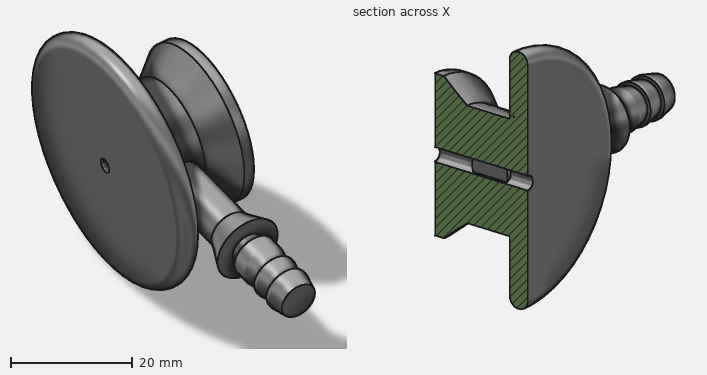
import cadquery as cq

overall_length = 67.5
disc_diameter = 46.0
disc_thickness = 4.0
disc_radius = disc_diameter / 2
edge_radius = disc_thickness / 2
face_radius = disc_radius - edge_radius

hub_radius = 10.5
hub_length = 9.0
bell_radius = 14.5
bell_flare_length = 5.0
overall_depth = 19.9
hub_end = disc_thickness + hub_length
flare_end = hub_end + bell_flare_length

hole_radius = 1.3

stem_y = disc_thickness + hub_length / 2
stem_start = 0.4
stem_radius = 3.8
stem_end = 24.45
collar_radius = 6.0
collar_end = 29.5
neck_radius = 3.0
neck_end = 31.5
barb_radius = 4.0
barb_tip_radius = 3.3
barb_count = 3
first_land_length = 2.9
barb_land_length = 0.7
connector_end = overall_length - disc_radius
lands_length = first_land_length + (barb_count - 1) * barb_land_length
barb_taper_length = (connector_end - neck_end - lands_length) / barb_count


def make_chest_piece():
    """Disc, hub and bell revolved about the Y axis."""
    profile = (
        cq.Workplane("XY")
        .lineTo(face_radius, 0)
        .threePointArc((disc_radius, edge_radius), (face_radius, disc_thickness))
        .lineTo(hub_radius, disc_thickness)
        .lineTo(hub_radius, hub_end)
        .lineTo(bell_radius, flare_end)
        .lineTo(bell_radius, overall_depth)
        .lineTo(0, overall_depth)
        .close()
    )
    return profile.revolve(360, (0, 0, 0), (0, 1, 0))


def make_sound_hole():
    return cq.Workplane("XZ").circle(hole_radius).extrude(-overall_depth)


def make_stem():
    """Stem, conical collar, neck and tapered barbs revolved about the stem axis."""
    outline = [
        (stem_start, 0),
        (stem_start, stem_radius),
        (stem_end, stem_radius),
        (collar_end, collar_radius),
        (collar_end, neck_radius),
        (neck_end, neck_radius),
    ]
    x = neck_end
    for index in range(barb_count):
        land_length = first_land_length if index == 0 else barb_land_length
        outline.append((x, barb_radius))
        x += land_length
        outline.append((x, barb_radius))
        x += barb_taper_length
        outline.append((x, barb_tip_radius))
    outline.append((connector_end, 0))
    profile = cq.Workplane("XY", origin=(0, stem_y, 0)).polyline(outline).close()
    return profile.revolve(360, (0, 0, 0), (1, 0, 0))


result = make_chest_piece().cut(make_sound_hole()).union(make_stem())